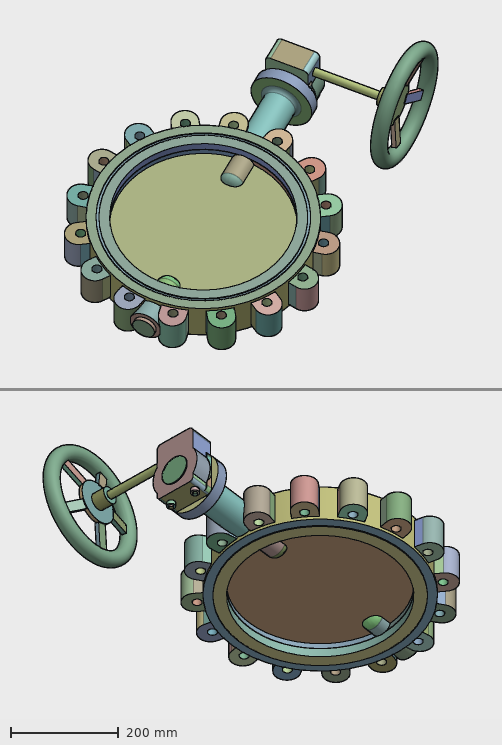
import cadquery as cq
import math


ring_radius = 217.5
ring_half_height = 39.0
bore_radius = 173.5
seat_radius = 174.0
seat_half_height = 21.5
liner_radius = 199.0
liner_lip = 2.0
groove_width = 5.5
groove_depth = 2.0

lug_count = 16
lug_radius = 26.0
lug_half_height = 32.0
lug_span = 511.0
lug_hole_radius = 9.0
bolt_circle_radius = 230.0
lug_step = 360 / lug_count
first_lug_angle = lug_step / 2
lug_circle_radius = (lug_span / 2 - lug_radius) / math.cos(math.radians(first_lug_angle))

disc_half_thickness = 9.0
hub_radius = 24.0
hub_rounding = 17.0
upper_hub_start = 109.0
lower_hub_start = 133.0
hub_end = (bore_radius + liner_radius) / 2
shaft_radius = 22.0
shaft_end = 258.0
lower_boss_radius = 31.5
lower_boss_end = 250.5

neck_radius = 32.0
neck_fillet = 8.5
mount_radius = 62.5
mount_start = 337.0
mount_face = 361.0

case_half_width = 44.0
case_bottom = -48.0
case_top = 83.0
top_rounding = 11.0
bottom_rounding = 8.0
case_end = 411.0
gear_radius = 54.0
gear_start = 373.0
skirt_radius = 53.0
pad_half_width = 46.0
pad_top = 48.0
pad_rounding = 11.0
cover_radius = 30.0
cover_height = 2.0
stop_screw_offset = 29.0
stop_nut_radius = 8.5
stop_nut_height = 8.5
stop_screw_radius = 5.0
stop_screw_height = 12.0

overall_length = 771
wheel_radius = 125.0
rim_radius = 16.0
rim_circle_radius = wheel_radius - rim_radius
wheel_x = 228.0
wheel_y = overall_length - shaft_end - wheel_radius
wheel_z = 55.0
stem_radius = 8.5
collar_radius = 18.0
collar_start = 180.0
plate_radius = 45.0
plate_start = 209.0
plate_thickness = 8.0
spoke_count = 5
first_spoke_angle = 180
spoke_width = 20.0
spoke_thickness = 9.0


def z_cylinder(radius, bottom, top):
    return cq.Workplane("XY").workplane(offset=bottom).circle(radius).extrude(top - bottom)


def y_cylinder(radius, start, end):
    """Cylinder on the shaft axis from y = start to y = end."""
    return cq.Workplane("XZ").workplane(offset=-start).circle(radius).extrude(start - end)


def x_cylinder(radius, start, end):
    """Cylinder on the hand-wheel axis from x = start to x = end."""
    plane = cq.Workplane("YZ", origin=(start, wheel_y, wheel_z))
    return plane.circle(radius).extrude(end - start)


def make_lugs():
    """Round-ended lugs reaching inwards to the middle of the ring wall."""
    inner_radius = (ring_radius + bore_radius) / 2
    length = lug_circle_radius - inner_radius
    base = cq.Workplane("XY").workplane(offset=-lug_half_height)
    bar = base.center(inner_radius + length / 2, 0).rect(length, 2 * lug_radius).extrude(2 * lug_half_height)
    lug = bar.union(base.center(lug_circle_radius, 0).circle(lug_radius).extrude(2 * lug_half_height))
    lugs = cq.Workplane("XY")
    for index in range(lug_count):
        angle = first_lug_angle + index * lug_step
        lugs = lugs.add(lug.rotate((0, 0, 0), (0, 0, 1), angle))
    return lugs.combine()


def make_lug_holes():
    holes = cq.Workplane("XY").workplane(offset=-lug_half_height)
    holes = holes.polarArray(bolt_circle_radius, first_lug_angle, 360, lug_count)
    return holes.circle(lug_hole_radius).extrude(2 * lug_half_height)


def make_neck():
    neck = y_cylinder(neck_radius, hub_end, mount_face)
    neck = neck.union(y_cylinder(mount_radius, mount_start, mount_face))
    inside_flange_edge = (mount_radius + neck_radius) / 2
    root = cq.selectors.BoxSelector(
        (-inside_flange_edge, mount_start - neck_fillet, -inside_flange_edge),
        (inside_flange_edge, mount_start + neck_fillet, inside_flange_edge),
        boundingbox=True,
    )
    return neck.edges(root).fillet(neck_fillet)


def make_valve():
    valve = z_cylinder(ring_radius, -ring_half_height, ring_half_height)
    valve = valve.union(z_cylinder(liner_radius, -ring_half_height - liner_lip, 0))
    valve = valve.union(make_lugs()).cut(make_lug_holes())
    valve = valve.union(make_neck())
    valve = valve.union(y_cylinder(lower_boss_radius, -lower_boss_end, -hub_end))
    valve = valve.union(y_cylinder(shaft_radius, -shaft_end, -hub_end))

    valve = valve.cut(z_cylinder(bore_radius, -ring_half_height - liner_lip, ring_half_height))
    valve = valve.cut(z_cylinder(seat_radius, -seat_half_height, seat_half_height))
    groove = z_cylinder(liner_radius, ring_half_height - groove_depth, ring_half_height)
    groove = groove.cut(z_cylinder(liner_radius - groove_width, 0, ring_half_height))
    valve = valve.cut(groove)

    valve = valve.union(z_cylinder(seat_radius, -disc_half_thickness, disc_half_thickness))
    upper_hub = y_cylinder(hub_radius, upper_hub_start, hub_end).faces("<Y").edges().fillet(hub_rounding)
    lower_hub = y_cylinder(hub_radius, -hub_end, -lower_hub_start).faces(">Y").edges().fillet(hub_rounding)
    return valve.union(upper_hub).union(lower_hub)


def make_gear_case():
    """Rounded box that holds the worm, crossed by the round worm-wheel housing."""
    case = cq.Workplane("XY").box(
        2 * case_half_width, case_end - mount_face, case_top - case_bottom, centered=(True, False, False)
    )
    case = case.translate((0, mount_face, case_bottom))
    case = case.faces(">Z").edges("|Y").fillet(top_rounding)
    case = case.faces("<Z").edges("|Y").fillet(bottom_rounding)
    below_bottom = z_cylinder(2 * gear_radius, case_bottom - gear_radius, case_bottom)
    below_bottom = below_bottom.translate((0, mount_face, 0))
    housing = y_cylinder(gear_radius, gear_start, case_end).cut(below_bottom)
    case = case.union(housing)

    skirt = cq.Workplane("XZ").workplane(offset=-gear_start).circle(skirt_radius)
    skirt = skirt.workplane(offset=gear_start - mount_face).circle(pad_half_width).loft().cut(below_bottom)
    pad = cq.Workplane("XY").box(
        2 * pad_half_width, gear_start - mount_face, pad_top - case_bottom, centered=(True, False, False)
    )
    pad = pad.translate((0, mount_face, case_bottom)).edges("|Y").fillet(pad_rounding)
    cover = y_cylinder(cover_radius, case_end, case_end + cover_height)
    return case.union(skirt).union(pad).union(cover)


def make_stop_screw(x):
    """Stop screw with its lock nut under the gear case."""
    nut = z_cylinder(stop_nut_radius, case_bottom - stop_nut_height, case_bottom)
    screw = z_cylinder(stop_screw_radius, case_bottom - stop_screw_height, case_bottom)
    return nut.union(screw).translate((x, wheel_y, 0))


def make_spoke():
    """Spoke along +Y that leans from the hub plate towards the middle of the rim."""
    inner_radius = plate_radius - spoke_width / 2
    outer_start = wheel_x - spoke_thickness / 2
    outline = [
        (plate_start, inner_radius),
        (outer_start, rim_circle_radius),
        (outer_start + spoke_thickness, rim_circle_radius),
        (plate_start + spoke_thickness, inner_radius),
    ]
    return cq.Workplane("XY").polyline(outline).close().extrude(spoke_width / 2, both=True)


def make_hand_wheel():
    rim = cq.Workplane(cq.Solid.makeTorus(
        rim_circle_radius, rim_radius, cq.Vector(wheel_x, wheel_y, wheel_z), cq.Vector(1, 0, 0)
    ))
    wheel = rim.union(x_cylinder(plate_radius, plate_start, plate_start + plate_thickness))
    wheel = wheel.union(x_cylinder(collar_radius, collar_start, plate_start))
    spoke = make_spoke()
    for index in range(spoke_count):
        angle = first_spoke_angle + index * 360 / spoke_count
        turned = spoke.rotate((0, 0, 0), (1, 0, 0), angle)
        wheel = wheel.union(turned.translate((0, wheel_y, wheel_z)))
    return wheel


def make_actuator():
    actuator = make_gear_case().union(x_cylinder(stem_radius, 0, collar_start))
    for side in (-1, 1):
        actuator = actuator.union(make_stop_screw(side * stop_screw_offset))
    return actuator.union(make_hand_wheel())


valve = make_valve()
actuator = make_actuator()

result = cq.Compound.makeCompound([*valve.solids().vals(), *actuator.solids().vals()])